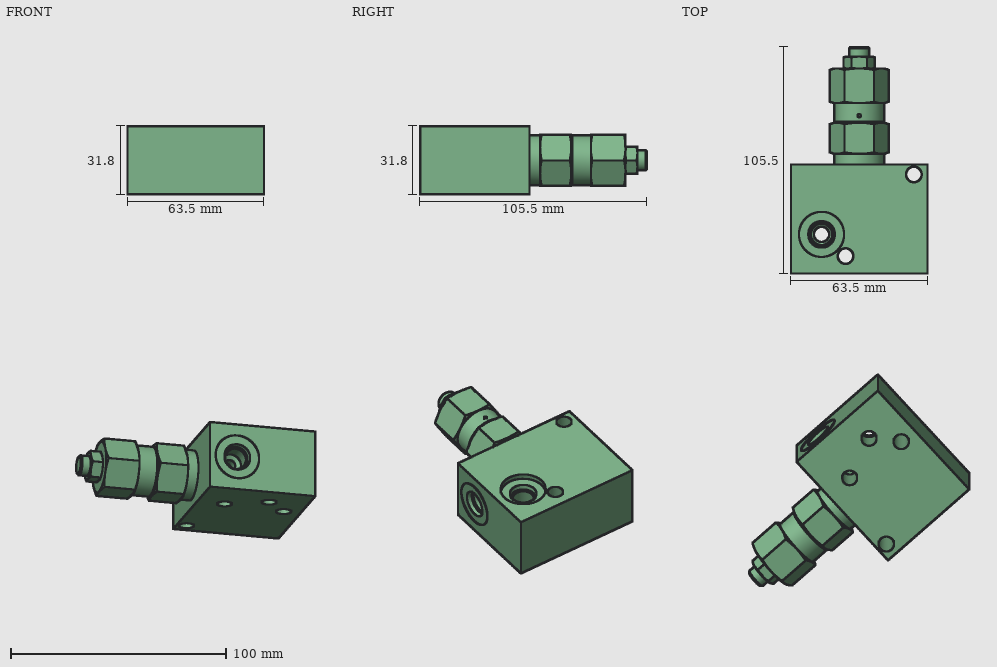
import cadquery as cq
import math

BLOCK_X = 63.5
BLOCK_Y = 50.8
BLOCK_Z = 31.75

MOUNT_DIA = 7.14
MOUNT_POINTS = [(25.4, 46.15), (-6.35, 8.2)]

SPOTFACE_DIA = 21.0
MOUTH_DIA = 12.4
SEAT_DIA = 11.2
THREAD_DIA = 9.9
MOUTH_DEPTH = 2.3
SEAT_DEPTH = 0.6
THREAD_DEPTH = 11.5
FLOOR_HALF_ANGLE = 59.0

TOP_PORT_X = -17.5
TOP_PORT_Y = 18.3
TOP_SPOTFACE_DEPTH = 2.7
TOP_PASSAGE_DIA = 7.0

SIDE_PORT_Y = 37.6
SIDE_SPOTFACE_DEPTH = 0.25
SIDE_PASSAGE_DIA = 5.3

CROSS_DIA = 7.0
CROSS_X = -9.5
CROSS_END_Z = 5.0

COLLAR_DIA = 23.4
HEX_FLATS = 23.8
LOWER_COLLAR_LENGTH = 4.95
LOWER_HEX_LENGTH = 14.4
NECK_DIA = 18.0
NECK_LENGTH = 0.55
UPPER_COLLAR_LENGTH = 8.57
UPPER_HEX_LENGTH = 16.1
LOCKNUT_FLATS = 12.7
LOCKNUT_LENGTH = 5.5
STUD_DIA = 9.4
CARTRIDGE_LENGTH = 54.66
STUD_CHAMFER = 0.7
HEX_CHAMFER_ANGLE = 20.0

VENT_DIA = 1.5
VENT_DEPTH = 2.0
VENT_FROM_COLLAR_TOP = 5.85


def cylinder(start_y, length, diameter):
    """Solid cylinder on the cartridge axis."""
    axis = cq.Vector(0, 1, 0)
    return cq.Workplane(cq.Solid.makeCylinder(diameter / 2, length, cq.Vector(0, start_y, 0), axis))


def hexagon(start_y, length, flats):
    """Hexagonal prism on the cartridge axis, flats facing +Z and -Z, corners chamfered at both ends."""
    corners = flats / math.cos(math.pi / 6)
    prism = cq.Workplane("XZ", origin=(0, start_y, 0)).polygon(6, corners).extrude(-length)
    rim = flats / 2
    reach = corners / 2 - rim
    drop = reach * math.tan(math.radians(HEX_CHAMFER_ANGLE))
    end_y = start_y + length
    envelope = (
        cq.Workplane("XY")
        .moveTo(0, start_y)
        .lineTo(rim, start_y)
        .lineTo(rim + reach, start_y + drop)
        .lineTo(rim + reach, end_y - drop)
        .lineTo(rim, end_y)
        .lineTo(0, end_y)
        .close()
        .revolve(360, (0, 0, 0), (0, 1, 0))
    )
    return prism.intersect(envelope)


def port(spotface_depth, passage_dia, total_depth):
    """Port cutter whose mouth lies at Z = 0 and which goes down along -Z."""
    mouth_end = spotface_depth + MOUTH_DEPTH
    seat_end = mouth_end + SEAT_DEPTH
    thread_end = spotface_depth + THREAD_DEPTH
    cone_height = (THREAD_DIA - passage_dia) / 2 / math.tan(math.radians(FLOOR_HALF_ANGLE))
    return (
        cq.Workplane("XZ")
        .moveTo(0, 0)
        .lineTo(SPOTFACE_DIA / 2, 0)
        .lineTo(SPOTFACE_DIA / 2, -spotface_depth)
        .lineTo(MOUTH_DIA / 2, -spotface_depth)
        .lineTo(SEAT_DIA / 2, -mouth_end)
        .lineTo(THREAD_DIA / 2, -seat_end)
        .lineTo(THREAD_DIA / 2, -thread_end)
        .lineTo(passage_dia / 2, -thread_end - cone_height)
        .lineTo(passage_dia / 2, -total_depth)
        .lineTo(0, -total_depth)
        .close()
        .revolve(360, (0, 0, 0), (0, 1, 0))
    )


def make_block():
    """Rectangular block with its mounting holes, ports and cross drilling."""
    block = cq.Workplane("XY").box(BLOCK_X, BLOCK_Y, BLOCK_Z).translate((0, BLOCK_Y / 2, 0))
    block = block.faces(">Z").workplane(origin=(0, 0, 0)).pushPoints(MOUNT_POINTS).hole(MOUNT_DIA)

    top_port = port(TOP_SPOTFACE_DEPTH, TOP_PASSAGE_DIA, BLOCK_Z)
    block = block.cut(top_port.translate((TOP_PORT_X, TOP_PORT_Y, BLOCK_Z / 2)))

    side_port = port(SIDE_SPOTFACE_DEPTH, SIDE_PASSAGE_DIA, BLOCK_X / 2 + CROSS_X)
    side_port = side_port.rotate((0, 0, 0), (0, 1, 0), -90)
    block = block.cut(side_port.translate((-BLOCK_X / 2, SIDE_PORT_Y, 0)))

    cross_length = BLOCK_Z / 2 + CROSS_END_Z
    cross_start = (CROSS_X, SIDE_PORT_Y, -BLOCK_Z / 2)
    return block.cut(cq.Workplane("XY", origin=cross_start).circle(CROSS_DIA / 2).extrude(cross_length))


def make_cartridge():
    """Cartridge body, adjuster cap, locknut and stud standing out of the back face."""
    lower_hex_y = BLOCK_Y + LOWER_COLLAR_LENGTH
    neck_y = lower_hex_y + LOWER_HEX_LENGTH
    upper_collar_y = neck_y + NECK_LENGTH
    upper_hex_y = upper_collar_y + UPPER_COLLAR_LENGTH
    locknut_y = upper_hex_y + UPPER_HEX_LENGTH
    stud_y = locknut_y + LOCKNUT_LENGTH
    stud_length = BLOCK_Y + CARTRIDGE_LENGTH - stud_y

    stud = cylinder(stud_y, stud_length, STUD_DIA).faces(">Y").edges().chamfer(STUD_CHAMFER)
    upper_collar = cylinder(upper_collar_y, UPPER_COLLAR_LENGTH, COLLAR_DIA)
    vent_y = upper_hex_y - VENT_FROM_COLLAR_TOP
    vent_floor = COLLAR_DIA / 2 - VENT_DEPTH
    vent = cq.Workplane("XY", origin=(0, vent_y, vent_floor)).circle(VENT_DIA / 2).extrude(COLLAR_DIA / 2)

    return (
        cylinder(BLOCK_Y, LOWER_COLLAR_LENGTH, COLLAR_DIA)
        .union(hexagon(lower_hex_y, LOWER_HEX_LENGTH, HEX_FLATS))
        .union(cylinder(neck_y, NECK_LENGTH, NECK_DIA))
        .union(upper_collar.cut(vent))
        .union(hexagon(upper_hex_y, UPPER_HEX_LENGTH, HEX_FLATS))
        .union(hexagon(locknut_y, LOCKNUT_LENGTH, LOCKNUT_FLATS))
        .union(stud)
    )


result = make_block().union(make_cartridge())